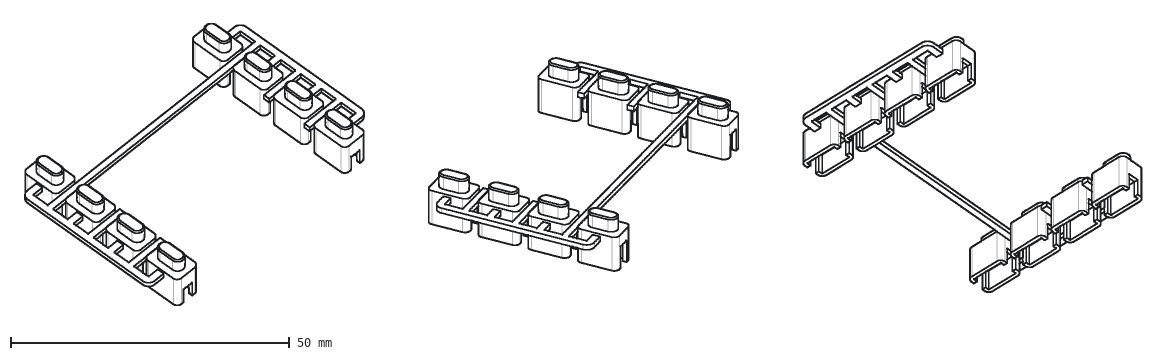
import cadquery as cq


total_length_y = 57.0
total_width_x = 38.2
total_height = 9.8

buttons_per_row = 4
body_x = 8.2
body_y = 5.55
body_height = 7.0
body_corner_radius = 1.0
pitch = (total_width_x - body_x) / (buttons_per_row - 1)

cap_x = 5.75
cap_y = 2.7
cap_height = total_height - body_height
cap_chamfer = 0.3

end_wall = 0.8
side_wall = 0.8
cavity_height = 4.5

slot_width = 2.2
near_slot_height = cavity_height
far_slot_height = 3.5

runner_width = 1.5
runner_corner_radius = runner_width
runner_thickness = 1.0
runner_drop = 0.5
runner_bottom = body_height - runner_drop - runner_thickness
bar_width = 1.3
bar_overhang = 0.3
runner_to_body = 3.9

outer_y = total_length_y / 2
row_y = outer_y - runner_to_body - body_y / 2
bar_end_y = row_y - body_y / 2 - bar_overhang
button_xs = [(i - (buttons_per_row - 1) / 2) * pitch for i in range(buttons_per_row)]
bar_xs = [x + pitch / 2 for x in button_xs[:-1]]
long_bar_x = bar_xs[0]
short_bar_xs = bar_xs[1:]


def end_slot(side, height):
    """Cutter for the slot from the middle of a button out through its -X (-1) or +X (1) end."""
    return (
        cq.Workplane("XY", origin=(side * body_x / 4, 0, 0))
        .rect(body_x / 2, slot_width)
        .extrude(height)
    )


def make_button():
    """One button centred on the Z axis."""
    body = (
        cq.Workplane("XY")
        .rect(body_x, body_y)
        .extrude(body_height)
        .edges("|Z")
        .fillet(body_corner_radius)
    )
    cap = (
        cq.Workplane("XY", origin=(0, 0, body_height))
        .slot2D(cap_x, cap_y)
        .extrude(cap_height)
        .faces(">Z")
        .chamfer(cap_chamfer)
    )
    cavity = (
        cq.Workplane("XY")
        .rect(body_x - 2 * end_wall, body_y - 2 * side_wall)
        .extrude(cavity_height)
    )
    near_slot = end_slot(-1, near_slot_height)
    far_slot = end_slot(1, far_slot_height)
    return body.union(cap).cut(cavity).cut(near_slot).cut(far_slot)


def runner_bar(x, y_start, y_end, width):
    """A straight runner bar along Y, centred on x."""
    return (
        cq.Workplane("XY", origin=(x, (y_start + y_end) / 2, runner_bottom))
        .rect(width, y_end - y_start)
        .extrude(runner_thickness)
    )


def make_row():
    """The row of buttons on the +Y side, with its cross runner, stubs and short bars."""
    runner_length = button_xs[-1] - button_xs[0] + runner_width
    row = (
        cq.Workplane("XY", origin=(0, outer_y - runner_width / 2, runner_bottom))
        .rect(runner_length, runner_width)
        .extrude(runner_thickness)
    )
    for x in button_xs:
        row = row.union(runner_bar(x, row_y, outer_y - runner_width / 2, runner_width))
    row = row.clean().edges("|Z and >Y").fillet(runner_corner_radius)
    for x in button_xs:
        row = row.union(make_button().translate((x, row_y, 0)))
    for x in short_bar_xs:
        row = row.union(runner_bar(x, bar_end_y, outer_y - runner_width / 2, bar_width))
    return row


row = make_row()
long_bar_end = outer_y - runner_width / 2
long_bar = runner_bar(long_bar_x, -long_bar_end, long_bar_end, bar_width)
result = row.union(row.mirror("XZ")).union(long_bar)